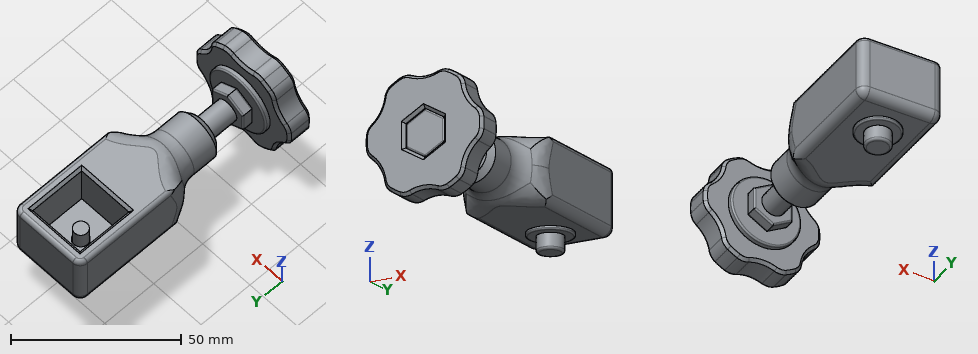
import cadquery as cq
import math


LOBES = 6
KNOB_DIAMETER = 40.0
KNOB_THICKNESS = 9.2
KNOB_CHAMFER = 1.0
SCALLOP_RADIUS = 12.0
SCALLOP_FLOOR = 17.5
LOBE_FILLET = 5.0
HUB_DIAMETER = 23.9
HUB_HEIGHT = 1.9
HUB_FILLET = 0.5

HEX_FLATS = 13.0
HEX_FILLET = 0.5
HEAD_HEIGHT = 5.35
HEAD_RECESS = 1.0
SHANK_DIAMETER = 8.0
SHANK_LENGTH = 49.9
NUT_HEIGHT = 4.1

HOUSING_WIDTH = 28.3
HOUSING_HEIGHT = 21.1
HOUSING_END = 89.1
NECK_DIAMETER = 17.0
NECK_START = 25.8
NECK_CHAMFER = 2.0
FLARE_START = 37.0
FLARE_RADIUS = 9.2
SHOULDER_FILLET = 7.5
CORNER_FILLET = 3.0
RIM_FILLET = 1.5
POCKET_SIDE = 20.0
POCKET_CHAMFER = 1.0
POCKET_CENTER_Y = 75.0
POCKET_FLOOR_Z = -5.4

SCREW_HOLE_DIAMETER = 5.5
CAP_THREAD_DIAMETER = 5.0
CAP_HEAD_DIAMETER = 8.5
CAP_THREAD_LENGTH = 12.0
CAP_HEAD_HEIGHT = 5.1
CAP_HEAD_FILLET = 0.8
WASHER_DIAMETER = 14.8
WASHER_THICKNESS = 1.1
WASHER_FILLET = 0.5

EDGE_MARGIN = 0.45

HEAD_BACK = HEAD_RECESS + HEAD_HEIGHT
SHANK_END = HEAD_BACK + SHANK_LENGTH
HUB_BACK = KNOB_THICKNESS + HUB_HEIGHT
HOUSING_TOP = HOUSING_HEIGHT / 2
HOUSING_BOTTOM = -HOUSING_HEIGHT / 2
WASHER_BOTTOM = HOUSING_BOTTOM - WASHER_THICKNESS


def plane_at(y):
    """Sketch plane at the given Y whose normal points along +Y and whose x axis is +X."""
    return cq.Workplane(cq.Plane(origin=(0, y, 0), xDir=(1, 0, 0), normal=(0, 1, 0)))


def rod(diameter, start, end):
    """Cylinder along the clamp axis."""
    return plane_at(start).circle(diameter / 2).extrude(end - start)


def upright_cylinder(diameter, bottom, top):
    """Cylinder along Z on the axis of the cap screw."""
    base = cq.Workplane("XY", origin=(0, POCKET_CENTER_Y, bottom))
    return base.circle(diameter / 2).extrude(top - bottom)


def hex_bar(start, length):
    """Hexagonal bar along Y with two corners on the Z axis."""
    corner_diameter = HEX_FLATS / math.cos(math.pi / 6)
    return plane_at(start).polygon(6, corner_diameter).extrude(length).rotate((0, 0, 0), (0, 1, 0), 30)


def make_knob():
    wheel = rod(KNOB_DIAMETER, 0, KNOB_THICKNESS)
    scallop_center = SCALLOP_FLOOR + SCALLOP_RADIUS
    scallops = (
        plane_at(0)
        .polarArray(scallop_center, 30, 360, LOBES)
        .circle(SCALLOP_RADIUS)
        .extrude(KNOB_THICKNESS)
    )
    wheel = wheel.cut(scallops)
    wheel = wheel.edges("|Y").fillet(LOBE_FILLET)
    wheel = wheel.faces("<Y or >Y").chamfer(KNOB_CHAMFER)
    hub = rod(HUB_DIAMETER, KNOB_THICKNESS, HUB_BACK).faces(">Y").edges().fillet(HUB_FILLET)
    knob = wheel.union(hub)
    knob = knob.cut(rod(SHANK_DIAMETER, 0, HUB_BACK)).cut(hex_bar(0, HEAD_BACK))
    pocket_mouth = cq.selectors.BoxSelector(
        (-HEX_FLATS, -EDGE_MARGIN, -HEX_FLATS),
        (HEX_FLATS, EDGE_MARGIN, HEX_FLATS),
    )
    return knob.edges(pocket_mouth).chamfer(HEAD_RECESS)


def make_hex_screw():
    head = hex_bar(HEAD_RECESS, HEAD_HEIGHT).faces("<Y").edges().fillet(HEX_FILLET)
    return head.union(rod(SHANK_DIAMETER, HEAD_BACK, SHANK_END))


def make_nut():
    nut = hex_bar(HUB_BACK, NUT_HEIGHT).faces("<Y or >Y").edges().fillet(HEX_FILLET)
    return nut.cut(rod(SHANK_DIAMETER, HUB_BACK, HUB_BACK + NUT_HEIGHT))


def make_block():
    """Plain block as wide and tall as the housing, reaching forward to the end of the neck."""
    length = HOUSING_END - NECK_START
    block = cq.Workplane("XY").box(HOUSING_WIDTH, length, HOUSING_HEIGHT)
    return block.translate((0, NECK_START + length / 2, 0))


def make_shouldered_body():
    """Sharp-edged block that runs through a filleted shoulder into the flared round neck."""
    neck_radius = NECK_DIAMETER / 2
    flare_end = FLARE_START + FLARE_RADIUS
    flare_turn = math.radians(45)
    envelope_radius = neck_radius + FLARE_RADIUS
    envelope = (
        cq.Workplane("XY")
        .moveTo(0, NECK_START)
        .lineTo(neck_radius - NECK_CHAMFER, NECK_START)
        .lineTo(neck_radius, NECK_START + NECK_CHAMFER)
        .lineTo(neck_radius, FLARE_START)
        .threePointArc(
            (
                neck_radius + FLARE_RADIUS * (1 - math.cos(flare_turn)),
                FLARE_START + FLARE_RADIUS * math.sin(flare_turn),
            ),
            (envelope_radius, flare_end),
        )
        .lineTo(envelope_radius, HOUSING_END)
        .lineTo(0, HOUSING_END)
        .close()
        .revolve(360, (0, 0, 0), (0, 1, 0))
    )
    shoulder = cq.selectors.BoxSelector(
        (-HOUSING_WIDTH, FLARE_START, -HOUSING_HEIGHT),
        (HOUSING_WIDTH, flare_end + EDGE_MARGIN, HOUSING_HEIGHT),
    )
    return make_block().intersect(envelope).edges(shoulder).fillet(SHOULDER_FILLET)


def make_rounded_block():
    """Block with rounded rear and long edges, which trims the edges of the shouldered body."""
    block = make_block().edges("|Z and >Y").fillet(CORNER_FILLET)
    block = block.faces("<Z").edges("not <Y").fillet(CORNER_FILLET)
    return block.faces(">Z").edges("not <Y").fillet(RIM_FILLET)


def make_pocket():
    """Square pocket with a chamfered mouth in the top of the housing, and the screw hole in its floor."""
    pocket = (
        cq.Workplane("XY", origin=(0, POCKET_CENTER_Y, POCKET_FLOOR_Z))
        .rect(POCKET_SIDE, POCKET_SIDE)
        .extrude(HOUSING_TOP - POCKET_FLOOR_Z)
    )
    mouth_side = POCKET_SIDE + 2 * POCKET_CHAMFER
    mouth = (
        cq.Workplane("XY", origin=(0, POCKET_CENTER_Y, HOUSING_TOP - POCKET_CHAMFER))
        .rect(POCKET_SIDE, POCKET_SIDE)
        .workplane(offset=POCKET_CHAMFER)
        .rect(mouth_side, mouth_side)
        .loft(ruled=True)
    )
    return pocket.union(mouth).union(upright_cylinder(SCREW_HOLE_DIAMETER, HOUSING_BOTTOM, POCKET_FLOOR_Z))


def make_housing():
    housing = make_shouldered_body().intersect(make_rounded_block())
    return housing.cut(make_pocket()).cut(rod(SHANK_DIAMETER, NECK_START, SHANK_END))


def make_washer():
    washer = upright_cylinder(WASHER_DIAMETER, WASHER_BOTTOM, HOUSING_BOTTOM)
    washer = washer.faces("<Z").edges().fillet(WASHER_FILLET)
    return washer.cut(upright_cylinder(CAP_THREAD_DIAMETER, WASHER_BOTTOM, HOUSING_BOTTOM))


def make_cap_screw():
    head = upright_cylinder(CAP_HEAD_DIAMETER, WASHER_BOTTOM - CAP_HEAD_HEIGHT, WASHER_BOTTOM)
    head = head.faces("<Z").edges().fillet(CAP_HEAD_FILLET)
    thread_top = WASHER_BOTTOM + CAP_THREAD_LENGTH
    return head.union(upright_cylinder(CAP_THREAD_DIAMETER, WASHER_BOTTOM, thread_top))


knob = make_knob()
hex_screw = make_hex_screw()
nut = make_nut()
housing = make_housing()
washer = make_washer()
cap_screw = make_cap_screw()

result = cq.Compound.makeCompound(
    [knob.val(), hex_screw.val(), nut.val(), housing.val(), washer.val(), cap_screw.val()]
)